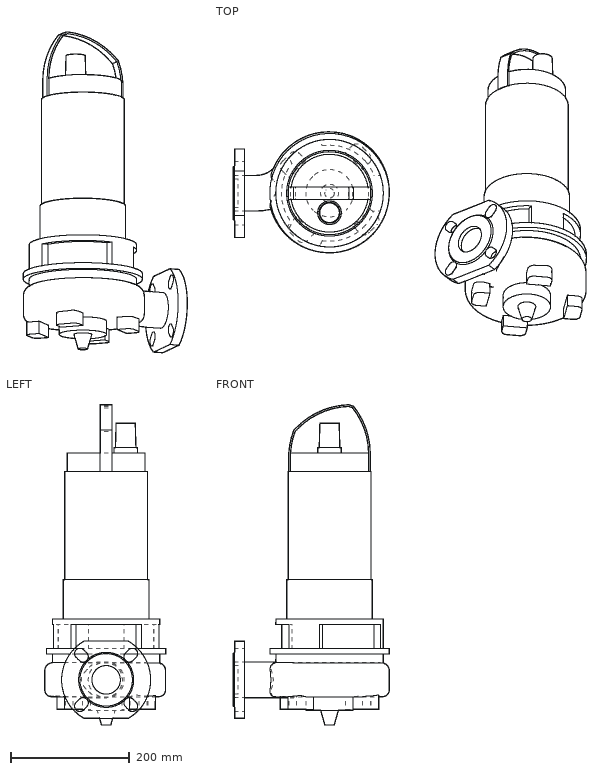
import cadquery as cq
import math

FOOT_BOTTOM = 26.5
SUCTION_BOTTOM = 25.0
VOLUTE_BOTTOM = 47.5
VOLUTE_TOP = 105.5
PLATE_BOTTOM = 119.5
FLANGE_THICKNESS = 10.0
PLATE_TOP = PLATE_BOTTOM + FLANGE_THICKNESS
HOUSING_TOP = 179.0
COLLAR_TOP = 245.5
MOTOR_TOP = 428.5
LID_TOP = 459.0
GLAND_BOSS_TOP = 468.5
CABLE_TOP = 509.5
HANDLE_TOP = 541.0

PLATE_DIAMETER = 202.0
HOUSING_DIAMETER = 182.0
HOUSING_CORE_DIAMETER = 162.5
COLLAR_DIAMETER = 145.0
MOTOR_DIAMETER = 140.0
LID_DIAMETER = 131.5
SUCTION_DIAMETER = 80.0
NOSE_TOP_DIAMETER = 30.5
NOSE_TIP_DIAMETER = 16.0

VOLUTE_DIAMETER = 204.5
VOLUTE_CENTRE = (-1.0, 1.5, 0)
VOLUTE_TOP_FILLET = 14.0
VOLUTE_BOTTOM_FILLET = 12.0

DISCHARGE_Z = 76.0
PIPE_DIAMETER = 60.5
BORE_DIAMETER = 48.0
BORE_DEPTH = 8.0
BEND_RADIUS = 70.5
BEND_ANGLE = 60.0
BEND_START_X = -123.5
OVERALL_LENGTH = 264.0
PORT_FACE_X = VOLUTE_CENTRE[0] + VOLUTE_DIAMETER / 2 - OVERALL_LENGTH
RAISED_FACE_HEIGHT = 2.5
RAISED_FACE_DIAMETER = 88.5
RAISED_FACE_BASE_DIAMETER = 93.0
PORT_FLANGE_DIAMETER = 150.5
PORT_FLANGE_HEIGHT = 130.5
PORT_FLANGE_THICKNESS = 17.0
FLANGE_FRONT_X = PORT_FACE_X + RAISED_FACE_HEIGHT
FLANGE_BACK_X = FLANGE_FRONT_X + PORT_FLANGE_THICKNESS
SLOT_COUNT = 4
FIRST_SLOT_ANGLE = 45.0
SLOT_WIDTH = 18.0
SLOT_LENGTH = 25.5
SLOT_CENTRE_RADIUS = 59.0

FOOT_COUNT = 4
FOOT_WIDTH = 41.0
FOOT_OUTER = 94.0
FOOT_INNER = 67.5
FOOT_OFFSET = 9.0
FOOT_CORNER_RADIUS = 10.5
FIRST_FOOT_ANGLE = 45.0

RIB_COUNT = 3
RIB_WIDTH = 59.5

GLAND_Y = -33.0
GLAND_BOSS_DIAMETER = 40.0
CABLE_BASE_DIAMETER = 35.0
CABLE_TOP_DIAMETER = 33.0

HANDLE_WIDTH = 20.5
HANDLE_THICKNESS = 3.0
HANDLE_LEFT_MIDDLE = (-66.0, 480.0)
HANDLE_LEFT_KNEE_LOW = (-60.5, 497.5)
HANDLE_LEFT_KNEE_HIGH = (-56.0, 502.0)
HANDLE_BACK_MIDDLE = (-17.0, 529.5)
HANDLE_PEAK_X = 32.5
HANDLE_RIGHT_KNEE = (40.5, 538.0)
HANDLE_RIGHT_MIDDLE = (61.0, 502.0)


def polar_point(centre, radius, angle):
    """Point at a radius and an angle in degrees from a centre."""
    turn = math.radians(angle)
    return (centre[0] + radius * math.cos(turn), centre[1] + radius * math.sin(turn))


def cylinder(diameter, bottom, top):
    """Upright cylinder on the pump axis."""
    return cq.Workplane("XY").workplane(offset=bottom).circle(diameter / 2).extrude(top - bottom)


def cone(bottom_diameter, top_diameter, bottom, top):
    """Upright truncated cone on the pump axis."""
    return cq.Workplane(cq.Solid.makeCone(
        bottom_diameter / 2, top_diameter / 2, top - bottom, pnt=cq.Vector(0, 0, bottom)))


def port_plane(x):
    """Plane across the discharge axis, with local X along +Y and local Y along +Z."""
    return cq.Workplane(cq.Plane((x, 0, DISCHARGE_Z), xDir=(0, 1, 0), normal=(1, 0, 0)))


def make_discharge_pipe():
    """Round pipe that runs from the port flange and bends towards +Y into the volute."""
    bend_centre = (BEND_START_X, BEND_RADIUS)
    path = (
        cq.Workplane("XY")
        .workplane(offset=DISCHARGE_Z)
        .moveTo(FLANGE_BACK_X, 0)
        .lineTo(BEND_START_X, 0)
        .threePointArc(
            polar_point(bend_centre, BEND_RADIUS, BEND_ANGLE / 2 - 90),
            polar_point(bend_centre, BEND_RADIUS, BEND_ANGLE - 90),
        )
    )
    return port_plane(FLANGE_BACK_X).circle(PIPE_DIAMETER / 2).sweep(path)


def make_port_flange():
    """Round flange with flats above and below, and a raised sealing face."""
    disc = port_plane(FLANGE_FRONT_X).circle(PORT_FLANGE_DIAMETER / 2).extrude(PORT_FLANGE_THICKNESS)
    flats = (
        port_plane(FLANGE_FRONT_X)
        .rect(PORT_FLANGE_DIAMETER, PORT_FLANGE_HEIGHT)
        .extrude(PORT_FLANGE_THICKNESS)
    )
    raised_face = cq.Workplane(cq.Solid.makeCone(
        RAISED_FACE_DIAMETER / 2,
        RAISED_FACE_BASE_DIAMETER / 2,
        RAISED_FACE_HEIGHT,
        pnt=cq.Vector(PORT_FACE_X, 0, DISCHARGE_Z),
        dir=cq.Vector(1, 0, 0),
    ))
    return disc.intersect(flats).union(raised_face)


def make_port_cuts():
    """Blind bore and the radial bolt slots of the port flange."""
    cuts = port_plane(PORT_FACE_X).circle(BORE_DIAMETER / 2).extrude(BORE_DEPTH)
    for index in range(SLOT_COUNT):
        slot = (
            port_plane(PORT_FACE_X)
            .transformed(rotate=(0, 0, FIRST_SLOT_ANGLE + index * 360 / SLOT_COUNT))
            .center(SLOT_CENTRE_RADIUS, 0)
            .slot2D(SLOT_LENGTH, SLOT_WIDTH)
            .extrude(RAISED_FACE_HEIGHT + PORT_FLANGE_THICKNESS)
        )
        cuts = cuts.union(slot)
    return cuts


def make_foot(angle):
    """Radial foot, set to one side of the radius, with rounded outer corners."""
    return (
        cq.Workplane("XY")
        .workplane(offset=FOOT_BOTTOM)
        .center((FOOT_OUTER + FOOT_INNER) / 2, FOOT_OFFSET)
        .rect(FOOT_OUTER - FOOT_INNER, FOOT_WIDTH)
        .extrude(DISCHARGE_Z - FOOT_BOTTOM)
        .edges("|Z and >X")
        .fillet(FOOT_CORNER_RADIUS)
        .rotate((0, 0, 0), (0, 0, 1), angle)
    )


def make_volute():
    """Round casing with its neck, suction spigot, feet and flanged discharge."""
    volute = cylinder(VOLUTE_DIAMETER, VOLUTE_BOTTOM, VOLUTE_TOP).translate(VOLUTE_CENTRE)
    volute = volute.faces(">Z").edges().fillet(VOLUTE_TOP_FILLET)
    volute = volute.faces("<Z").edges().fillet(VOLUTE_BOTTOM_FILLET)
    volute = volute.union(cylinder(HOUSING_DIAMETER, DISCHARGE_Z, PLATE_BOTTOM))
    volute = volute.union(cylinder(SUCTION_DIAMETER, SUCTION_BOTTOM, DISCHARGE_Z))
    for index in range(FOOT_COUNT):
        volute = volute.union(make_foot(FIRST_FOOT_ANGLE + index * 360 / FOOT_COUNT))
    volute = volute.union(make_discharge_pipe()).union(make_port_flange())
    return volute.cut(make_port_cuts())


def make_impeller_nose():
    """Tapered nose below the suction spigot."""
    return cone(NOSE_TIP_DIAMETER, NOSE_TOP_DIAMETER, 0, SUCTION_BOTTOM)


def make_bearing_housing():
    """Two flanges joined by a core and by parallel-sided ribs with open windows between."""
    plate = cylinder(PLATE_DIAMETER, PLATE_BOTTOM, PLATE_TOP)
    top_flange = cylinder(HOUSING_DIAMETER, HOUSING_TOP - FLANGE_THICKNESS, HOUSING_TOP)
    housing = plate.union(top_flange)
    housing = housing.union(cylinder(HOUSING_CORE_DIAMETER, PLATE_BOTTOM, HOUSING_TOP))
    rib_envelope = cylinder(HOUSING_DIAMETER, PLATE_BOTTOM, HOUSING_TOP)
    for index in range(RIB_COUNT):
        rib = (
            cq.Workplane("XY")
            .workplane(offset=PLATE_BOTTOM)
            .center(HOUSING_DIAMETER / 2, 0)
            .rect(HOUSING_DIAMETER, RIB_WIDTH)
            .extrude(HOUSING_TOP - PLATE_BOTTOM)
            .rotate((0, 0, 0), (0, 0, 1), index * 360 / RIB_COUNT)
        )
        housing = housing.union(rib.intersect(rib_envelope))
    return housing


def make_motor():
    """Motor casing with a slightly wider collar at its foot."""
    collar = cylinder(COLLAR_DIAMETER, HOUSING_TOP, COLLAR_TOP)
    return collar.union(cylinder(MOTOR_DIAMETER, COLLAR_TOP, MOTOR_TOP))


def make_lid():
    """Plain round lid on the motor."""
    return cylinder(LID_DIAMETER, MOTOR_TOP, LID_TOP)


def make_cable_gland():
    """Gland boss with the slightly tapered cable sleeve above it."""
    boss = cylinder(GLAND_BOSS_DIAMETER, LID_TOP, GLAND_BOSS_TOP)
    sleeve = cone(CABLE_BASE_DIAMETER, CABLE_TOP_DIAMETER, GLAND_BOSS_TOP, CABLE_TOP)
    return boss.union(sleeve).translate((0, GLAND_Y, 0))


def make_handle():
    """Bent flat strip whose two legs stand on the motor against the lid."""
    leg_x = LID_DIAMETER / 2 + HANDLE_THICKNESS
    outline_bottom = MOTOR_TOP - HANDLE_THICKNESS
    outline = (
        cq.Workplane("XZ")
        .workplane(offset=-HANDLE_WIDTH / 2)
        .moveTo(-leg_x, outline_bottom)
        .lineTo(-leg_x, LID_TOP)
        .threePointArc(HANDLE_LEFT_MIDDLE, HANDLE_LEFT_KNEE_LOW)
        .lineTo(*HANDLE_LEFT_KNEE_HIGH)
        .threePointArc(HANDLE_BACK_MIDDLE, (HANDLE_PEAK_X, HANDLE_TOP))
        .lineTo(*HANDLE_RIGHT_KNEE)
        .threePointArc(HANDLE_RIGHT_MIDDLE, (leg_x, LID_TOP))
        .lineTo(leg_x, outline_bottom)
        .close()
    )
    outer_wire = outline.val()
    inner_wires = outer_wire.offset2D(-HANDLE_THICKNESS)
    loop = cq.Solid.extrudeLinear(outer_wire, inner_wires, cq.Vector(0, -HANDLE_WIDTH, 0))
    below_motor_top = cq.Workplane("XY").box(2 * leg_x, HANDLE_WIDTH, 2 * MOTOR_TOP)
    return cq.Workplane(loop).cut(below_motor_top)


volute = make_volute()
impeller_nose = make_impeller_nose()
bearing_housing = make_bearing_housing()
motor = make_motor()
lid = make_lid()
cable_gland = make_cable_gland()
handle = make_handle()

result = cq.Compound.makeCompound([
    volute.val(),
    impeller_nose.val(),
    bearing_housing.val(),
    motor.val(),
    lid.val(),
    cable_gland.val(),
    handle.val(),
])